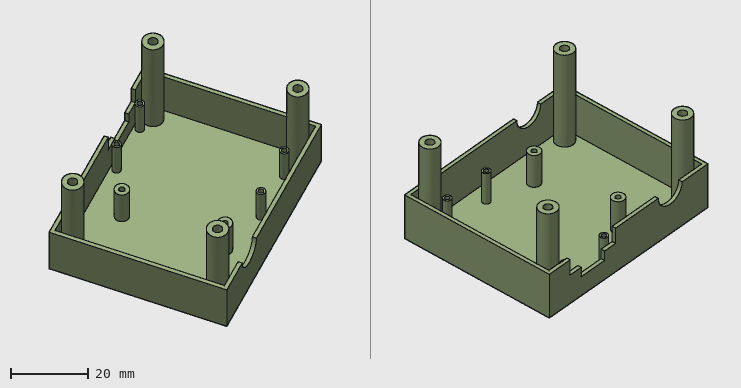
import cadquery as cq

length = 61.8
width = 50.05
tray_height = 14.4
wall = 1.2
floor = 1.2

corner_top = 31.4
corner_diameter = 5.8
corner_hole = 2.6
corner_x = 20.4
corner_y = 26.2

board_top = 11.2
board_diameter = 2.5
board_hole = 1.4
board_left_x = -22.05
board_right_x = 18.6
board_back_y = 21.5
board_front_y = 6.3

medium_top = 11.6
medium_diameter = 4.0
medium_hole = 1.6
medium_x = 14.5
medium_y = -7.7

notch_y = (board_back_y + board_front_y) / 2
notch_width = 17.7
notch_depth = 5.0
notch_lower_width = 9.1
notch_lower_depth = 8.1

cutout_y = -16.2
cutout_radius = 4.65


def make_tray():
    outer = cq.Workplane("XY").box(width, length, tray_height, centered=(True, True, False))
    cavity = (
        cq.Workplane("XY")
        .workplane(offset=floor)
        .rect(width - 2 * wall, length - 2 * wall)
        .extrude(tray_height - floor)
    )
    return outer.cut(cavity)


def cut_notch_step(body, step_width, step_depth):
    """Cut one rectangular step down from the rim of the -X wall."""
    step = cq.Workplane("XY").box(wall, step_width, step_depth, centered=(False, True, False))
    return body.cut(step.translate((-width / 2, notch_y, tray_height - step_depth)))


def cut_round_cutouts(body):
    cutter = (
        cq.Workplane("YZ")
        .center(cutout_y, tray_height)
        .circle(cutout_radius)
        .extrude(width / 2, both=True)
    )
    return body.cut(cutter)


def add_posts(body, places, diameter, hole_diameter, top):
    """Add tubular posts standing on the floor, with bores ending at the floor."""
    base = cq.Workplane("XY").pushPoints(places)
    posts = base.circle(diameter / 2).extrude(top)
    bores = (
        cq.Workplane("XY")
        .workplane(offset=floor)
        .pushPoints(places)
        .circle(hole_diameter / 2)
        .extrude(top - floor)
    )
    return body.union(posts).cut(bores)


corner_places = [(x, y) for x in (-corner_x, corner_x) for y in (-corner_y, corner_y)]
board_places = [(x, y) for x in (board_left_x, board_right_x) for y in (board_front_y, board_back_y)]
medium_places = [(-medium_x, medium_y), (medium_x, medium_y)]

result = make_tray()
result = cut_notch_step(result, notch_width, notch_depth)
result = cut_notch_step(result, notch_lower_width, notch_lower_depth)
result = cut_round_cutouts(result)
result = add_posts(result, corner_places, corner_diameter, corner_hole, corner_top)
result = add_posts(result, board_places, board_diameter, board_hole, board_top)
result = add_posts(result, medium_places, medium_diameter, medium_hole, medium_top)